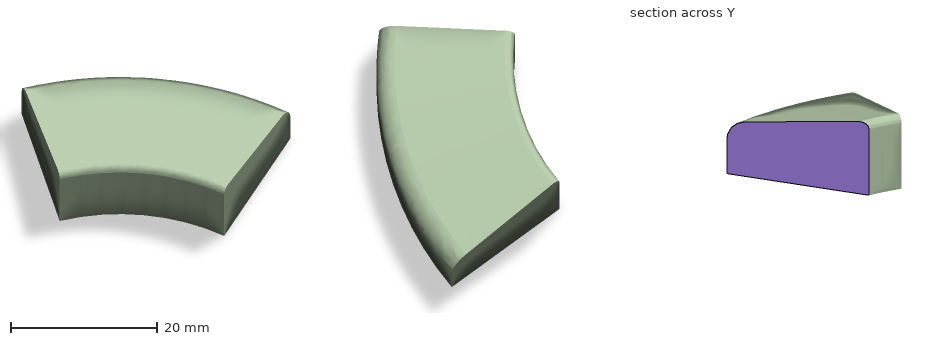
import cadquery as cq
import math

outer_radius = 48.3
inner_radius = 29.57
sweep_angle = 45
peak_height = 10.75
top_slope = math.radians(10)
outer_rounding = 3.0
inner_rounding = 1.0

rounding_center_height = peak_height - inner_rounding
rounding_center_radius = inner_radius + inner_rounding


def slope_height(radius):
    """Height of the sloped top at a distance from the sweep axis."""
    above_center = inner_rounding / math.cos(top_slope)
    drop = (radius - rounding_center_radius) * math.tan(top_slope)
    return rounding_center_height + above_center - drop


section = (
    cq.Workplane("XZ")
    .moveTo(-outer_radius, 0)
    .lineTo(-inner_radius, 0)
    .lineTo(-inner_radius, slope_height(inner_radius))
    .lineTo(-outer_radius, slope_height(outer_radius))
    .close()
)
segment = section.revolve(sweep_angle, (0, 0), (0, -1))


def round_top_edge(body, radius, rounding):
    """Round the curved top edge at a distance from the sweep axis."""
    half_sweep = math.radians(sweep_angle / 2)
    edge_middle = (
        -radius * math.cos(half_sweep),
        radius * math.sin(half_sweep),
        slope_height(radius),
    )
    return body.edges(cq.selectors.NearestToPointSelector(edge_middle)).fillet(rounding)


segment = round_top_edge(segment, outer_radius, outer_rounding)
result = round_top_edge(segment, inner_radius, inner_rounding)